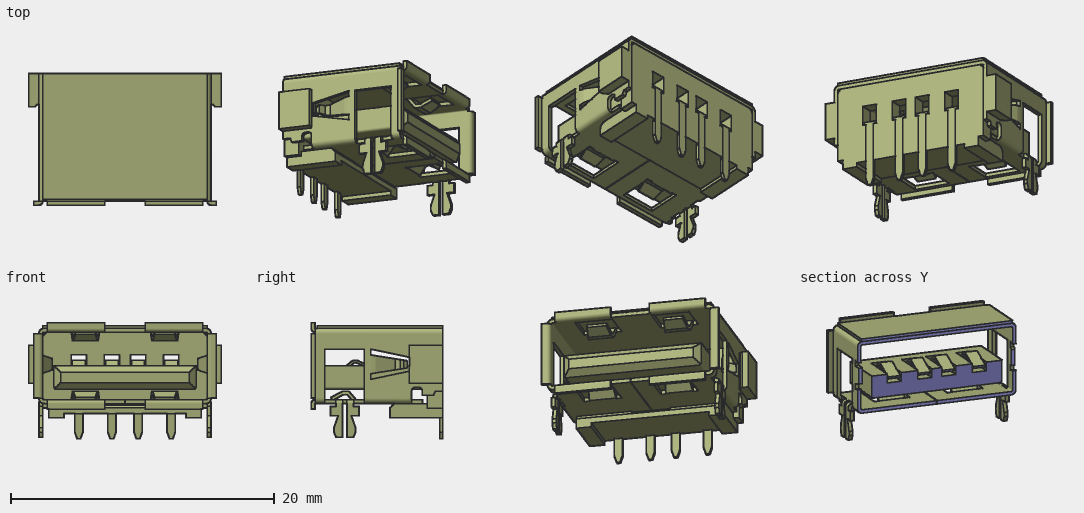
import cadquery as cq
import math


SHEET = 0.3
HALF_WIDTH = 6.54
HEIGHT = 5.71
REAR = 10.0
CORNER = 0.41
SEAM = 0.05
INNER_HALF = HALF_WIDTH - SHEET
CEILING = HEIGHT - SHEET
FLOOR_HALF = HALF_WIDTH - CORNER

LIP_REACH = 0.42
SIDE_LIP_REACH = 0.4
LIP_WIDTH = 4.38
LIP_CENTER = 3.71

WING_OUT = 7.3
WING_FRONT = 7.46
WING_BOTTOM, WING_TOP = 1.53, 4.42
WING_CHAMFER = 0.19
WING_STEP = 0.1

WINDOW_FRONT, WINDOW_REAR = 1.05, 4.03
WINDOW_TOP = 4.1

LATCH_Z = 2.98
LATCH_FRONT = 4.54
LATCH_TIP = 7.3
LATCH_TIP_FILLET = 0.12
LATCH_ROOT_HALF, LATCH_TIP_HALF = 0.72, 0.28
LATCH_HOLE_FRONT_HALF, LATCH_HOLE_REAR_HALF = 1.14, 0.53

FLOOR_REAR = 8.47
RELIEF_FRONT, RELIEF_REAR = 7.64, 8.42
RELIEF_TOP, RELIEF_FILLET = 1.25, 0.32
WALL_REAR_EDGE = 0.61
WALL_STEP_EDGE = 0.93
WALL_STEP_LOW, WALL_STEP_HIGH = 9.29, 9.42

SPRING_CENTER = 3.01
SPRING_ROOT = 3.42
SPRING_RISE = 0.93
SPRING_THICK = 0.28
SPRING_ROOT_WIDTH, SPRING_TIP_WIDTH = 2.25, 1.5
SPRING_HOLE_WIDTH = 2.92
SPRING_HOLE_FRONT = 0.7
SPRING_TIP = 1.49

LEG_CENTER = 2.55
LEG_BOTTOM = -2.57
LEG_SLOT = 0.3

TONGUE_HALF = 5.39
TONGUE_BOTTOM, TONGUE_TOP = 1.08, 2.88
TONGUE_FRONT = 0.38
TONGUE_CHAMFER = 0.51
TONGUE_FILLET = 0.2
BACK_FRONT = 8.8
BACK_BOTTOM = -0.35
BACK_CHAMFER = 0.26
BASE_HALF = 5.8
BASE_FRONT = 5.99
BASE_BOTTOM = -0.76
BASE_CHAMFER = 0.32
RECESS_HALF = LIP_CENTER - LIP_WIDTH / 2
RECESS_DEPTH = 0.15
FOOT_BOTTOM = -1.08
FOOT_INNER = 4.61

CONTACT_X = (-3.5, -1.0, 1.0, 3.5)
CONTACT_WIDTH = 1.01
CONTACT_THICK = 0.18
CREST_Y, CREST_TOP = 3.31, 3.3
CONTACT_TIP = 2.05
SLOT_WIDTH = 1.14
SLOT_FRONT = 1.9
SLOT_FLOOR = 2.19
SLOT_TOP = 3.7
PIN_WIDTH = 0.64
PIN_THICK = 0.25
PIN_TIP_WIDTH = 0.26
PIN_TAPER_TOP = -2.16
PIN_BOTTOM = -2.69

COVER_HALF = 6.25
COVER_FRONT = 0.47
COVER_THICK = 0.2

MIRROR_SIGNS = (-1, 1)


def box(x0, x1, y0, y1, z0, z1):
    """Box between two opposite corners."""
    return cq.Workplane("XY").box(x1 - x0, y1 - y0, z1 - z0, centered=False).translate((x0, y0, z0))


def side_prism(points, x0, x1):
    """Outline of (y, z) points extruded from x0 to x1."""
    return cq.Workplane("YZ").workplane(offset=x0).polyline(points).close().extrude(x1 - x0)


def both_sides(body):
    """A body and its mirror image across the centre plane."""
    return body.union(body.mirror("YZ"))


def mirrored_in_height(body):
    """Mirror image of a body across the mid-height plane of the shell."""
    return body.mirror("XY", (0, 0, HEIGHT / 2))


def shell_tube():
    outer = box(-HALF_WIDTH, HALF_WIDTH, SHEET, REAR, 0, HEIGHT).edges("|Y").fillet(CORNER)
    inner = box(-INNER_HALF, INNER_HALF, SHEET, REAR, SHEET, CEILING)
    return outer.cut(inner.edges("|Y").fillet(CORNER - SHEET))


def lip_profile(plane, flip, outer_face, reach):
    """Outward bend of a sheet whose outer face lies at outer_face; flip swaps the plane axes."""
    def place(along_y, outward):
        return (outward, along_y) if flip else (along_y, outward)

    arc_offset = SHEET * (1 - math.sqrt(0.5))
    return (
        plane.moveTo(*place(SHEET, outer_face - SHEET))
        .threePointArc(place(arc_offset, outer_face - SHEET + arc_offset), place(0, outer_face))
        .lineTo(*place(0, outer_face + reach))
        .lineTo(*place(SHEET, outer_face + reach))
        .close()
    )


def top_lip(center):
    plane = cq.Workplane("YZ").workplane(offset=center - LIP_WIDTH / 2)
    return lip_profile(plane, False, HEIGHT, LIP_REACH).extrude(LIP_WIDTH)


def side_lip():
    plane = cq.Workplane("XY").workplane(offset=CORNER)
    return lip_profile(plane, True, HALF_WIDTH, SIDE_LIP_REACH).extrude(HEIGHT - 2 * CORNER)


def side_wing():
    chamfer_start = HALF_WIDTH + WING_STEP
    outline = [
        (INNER_HALF, REAR),
        (WING_OUT, REAR),
        (WING_OUT, WING_FRONT),
        (chamfer_start + WING_CHAMFER, WING_FRONT),
        (chamfer_start, WING_FRONT + WING_CHAMFER),
        (INNER_HALF, WING_FRONT + WING_CHAMFER),
    ]
    plane = cq.Workplane("XY").workplane(offset=WING_BOTTOM)
    return plane.polyline(outline).close().extrude(WING_TOP - WING_BOTTOM)


def wall_openings():
    """Everything removed from the right-hand side wall."""
    window = box(FLOOR_HALF, HALF_WIDTH, WINDOW_FRONT, WINDOW_REAR, 0, WINDOW_TOP)
    latch_hole = side_prism(
        [
            (LATCH_FRONT, LATCH_Z - LATCH_HOLE_FRONT_HALF),
            (LATCH_FRONT, LATCH_Z + LATCH_HOLE_FRONT_HALF),
            (WING_FRONT, LATCH_Z + LATCH_HOLE_REAR_HALF),
            (WING_FRONT, LATCH_Z - LATCH_HOLE_REAR_HALF),
        ],
        FLOOR_HALF,
        HALF_WIDTH,
    )
    rear_edge = side_prism(
        [
            (RELIEF_FRONT, 0),
            (RELIEF_FRONT, WALL_REAR_EDGE),
            (WALL_STEP_LOW, WALL_REAR_EDGE),
            (WALL_STEP_HIGH, WALL_STEP_EDGE),
            (REAR, WALL_STEP_EDGE),
            (REAR, 0),
        ],
        FLOOR_HALF,
        HALF_WIDTH,
    )
    relief = box(FLOOR_HALF, HALF_WIDTH, RELIEF_FRONT, RELIEF_REAR, 0, RELIEF_TOP)
    relief = relief.edges("|X and >Z").fillet(RELIEF_FILLET)
    return window.union(latch_hole).union(rear_edge).union(relief)


def latch_spring():
    """Side spring that slopes inward from its root and turns sharply back out at its tip."""
    root_bend = 4.9
    root_inset = 0.06
    inward_start, inward_mid, inward_end = (5.53, 6.28), (5.58, 6.69), (5.81, 7.04)
    outward_start, outward_mid, outward_end = (5.83, 6.38), (5.85, 6.58), (5.94, 6.76)
    inward_tip, outward_tip = (6.35, LATCH_TIP), (6.48, 7.02)
    strip = (
        cq.Workplane("XY")
        .moveTo(HALF_WIDTH, LATCH_FRONT)
        .lineTo(INNER_HALF, LATCH_FRONT)
        .lineTo(INNER_HALF - root_inset, root_bend)
        .lineTo(*inward_start)
        .threePointArc(inward_mid, inward_end)
        .lineTo(*inward_tip)
        .lineTo(*outward_tip)
        .lineTo(*outward_end)
        .threePointArc(outward_mid, outward_start)
        .lineTo(HALF_WIDTH - root_inset, root_bend)
        .close()
        .extrude(HEIGHT)
    )
    taper = side_prism(
        [
            (LATCH_FRONT, LATCH_Z - LATCH_ROOT_HALF),
            (LATCH_FRONT, LATCH_Z + LATCH_ROOT_HALF),
            (LATCH_TIP, LATCH_Z + LATCH_TIP_HALF),
            (LATCH_TIP, LATCH_Z - LATCH_TIP_HALF),
        ],
        0,
        HALF_WIDTH,
    )
    return strip.intersect(taper.edges("|X and >Y").fillet(LATCH_TIP_FILLET))


def spring_opening(center):
    half = SPRING_HOLE_WIDTH / 2
    return box(center - half, center + half, SPRING_HOLE_FRONT, SPRING_ROOT, 0, SHEET)


def floor_spring(center):
    """Arched tongue rising from the floor, free at its front end and narrower there."""
    crest_rear, crest_front = 2.88, 2.38
    tip_top = 0.47
    tip_setback, tip_drop = 0.13, 0.25
    inner_front, inner_rear = 2.44, 2.76
    foot_rear = 3.3
    crest_underside = SPRING_RISE - SPRING_THICK
    arch = side_prism(
        [
            (SPRING_ROOT + SHEET, 0),
            (SPRING_ROOT + SHEET, SHEET),
            (SPRING_ROOT, SHEET),
            (crest_rear, SPRING_RISE),
            (crest_front, SPRING_RISE),
            (SPRING_TIP, tip_top),
            (SPRING_TIP + tip_setback, tip_top - tip_drop),
            (inner_front, crest_underside),
            (inner_rear, crest_underside),
            (foot_rear, 0),
        ],
        center - SPRING_ROOT_WIDTH / 2,
        center + SPRING_ROOT_WIDTH / 2,
    )
    taper = [
        (center - SPRING_ROOT_WIDTH / 2, SPRING_ROOT + SHEET),
        (center + SPRING_ROOT_WIDTH / 2, SPRING_ROOT + SHEET),
        (center + SPRING_TIP_WIDTH / 2, SPRING_TIP),
        (center - SPRING_TIP_WIDTH / 2, SPRING_TIP),
    ]
    return arch.intersect(cq.Workplane("XY").polyline(taper).close().extrude(SPRING_RISE))


def board_lock():
    """Split leg that bends down from the right-hand edge of the floor."""
    shoulder_top, shoulder_bottom = -0.2, -0.93
    bulge_top, bulge_bottom = -1.84, -2.16
    neck, shoulder, waist, bulge, tip = 0.67, 1.1, 0.51, 0.83, 0.65
    half_outline = [
        (neck, SHEET),
        (neck, shoulder_top),
        (shoulder, shoulder_top),
        (shoulder, shoulder_bottom),
        (waist, shoulder_bottom),
        (bulge, bulge_top),
        (bulge, bulge_bottom),
        (tip, LEG_BOTTOM),
    ]
    front = [(LEG_CENTER - y, z) for y, z in half_outline]
    rear = [(LEG_CENTER + y, z) for y, z in reversed(half_outline)]
    outline = side_prism(front + rear, FLOOR_HALF, HALF_WIDTH)
    bend = SHEET * math.sqrt(0.5)
    strip = (
        cq.Workplane("XZ", origin=(0, WINDOW_REAR, 0))
        .moveTo(FLOOR_HALF, SHEET)
        .lineTo(INNER_HALF, SHEET)
        .threePointArc((INNER_HALF + bend, bend), (HALF_WIDTH, 0))
        .lineTo(HALF_WIDTH, LEG_BOTTOM)
        .lineTo(INNER_HALF, LEG_BOTTOM)
        .lineTo(INNER_HALF, 0)
        .lineTo(FLOOR_HALF, 0)
        .close()
        .extrude(WINDOW_REAR - WINDOW_FRONT)
    )
    slot = box(
        FLOOR_HALF, HALF_WIDTH,
        LEG_CENTER - LEG_SLOT / 2, LEG_CENTER + LEG_SLOT / 2,
        LEG_BOTTOM, SHEET,
    )
    return strip.intersect(outline).cut(slot)


def make_shell():
    shell = shell_tube().cut(both_sides(wall_openings()))
    shell = shell.cut(box(-HALF_WIDTH, HALF_WIDTH, FLOOR_REAR, REAR, 0, WALL_REAR_EDGE))
    shell = shell.cut(box(-SEAM / 2, SEAM / 2, 0, REAR, 0, SHEET))
    for side in MIRROR_SIGNS:
        lip = top_lip(side * LIP_CENTER)
        opening = spring_opening(side * SPRING_CENTER)
        spring = floor_spring(side * SPRING_CENTER)
        shell = shell.cut(opening).cut(mirrored_in_height(opening))
        shell = shell.union(lip).union(mirrored_in_height(lip))
        shell = shell.union(spring).union(mirrored_in_height(spring))
    for feature in (side_lip(), side_wing(), latch_spring(), board_lock()):
        shell = shell.union(both_sides(feature))
    return shell


def tongue():
    body = box(-TONGUE_HALF, TONGUE_HALF, TONGUE_FRONT, BACK_FRONT, TONGUE_BOTTOM, TONGUE_TOP)
    body = body.edges("|Y and <Z").fillet(TONGUE_FILLET)
    bevel_end = TONGUE_FRONT + TONGUE_CHAMFER
    side_outline = [
        (BACK_FRONT, TONGUE_BOTTOM),
        (bevel_end, TONGUE_BOTTOM),
        (TONGUE_FRONT, TONGUE_BOTTOM + TONGUE_CHAMFER),
        (TONGUE_FRONT, TONGUE_TOP - TONGUE_CHAMFER),
        (bevel_end, TONGUE_TOP),
        (BACK_FRONT, TONGUE_TOP),
    ]
    plan_outline = [
        (-TONGUE_HALF, BACK_FRONT),
        (-TONGUE_HALF, bevel_end),
        (TONGUE_CHAMFER - TONGUE_HALF, TONGUE_FRONT),
        (TONGUE_HALF - TONGUE_CHAMFER, TONGUE_FRONT),
        (TONGUE_HALF, bevel_end),
        (TONGUE_HALF, BACK_FRONT),
    ]
    plan = cq.Workplane("XY").polyline(plan_outline).close().extrude(TONGUE_TOP)
    return body.intersect(side_prism(side_outline, -TONGUE_HALF, TONGUE_HALF)).intersect(plan)


def back_wall():
    wall = box(-INNER_HALF, INNER_HALF, BACK_FRONT, REAR, BACK_BOTTOM, CEILING)
    return wall.edges("|Y and >Z").chamfer(BACK_CHAMFER)


def base():
    plate = box(-BASE_HALF, BASE_HALF, BASE_FRONT, REAR, FOOT_BOTTOM, 0)
    plate = plate.edges("|X and <Y and >Z").chamfer(BASE_CHAMFER)
    plate = plate.cut(box(-RECESS_HALF, RECESS_HALF, BASE_FRONT, BACK_FRONT, -RECESS_DEPTH, 0))
    return plate.cut(box(-FOOT_INNER, FOOT_INNER, BASE_FRONT, REAR, FOOT_BOTTOM, BASE_BOTTOM))


def contact_channel(center):
    """Slot along the tongue and through the back wall, with a groove for the pin behind it."""
    half_slot = SLOT_WIDTH / 2
    half_pin = PIN_WIDTH / 2
    slot = box(center - half_slot, center + half_slot, SLOT_FRONT, REAR, SLOT_FLOOR, SLOT_TOP)
    groove = box(center - half_pin, center + half_pin, REAR - PIN_THICK, REAR, FOOT_BOTTOM, SLOT_FLOOR)
    return slot.union(groove)


def make_housing():
    housing = back_wall().union(tongue()).union(base())
    for center in CONTACT_X:
        housing = housing.cut(contact_channel(center))
    return housing


def contact_beam():
    """Flat strip on the slot floor that rises to a rounded crest and dips back into the slot."""
    rise_start = 5.7
    crest_rear = (CREST_Y + 0.26, CREST_TOP - 0.06)
    crest_front = (CREST_Y - 0.29, CREST_TOP - 0.15)
    strip_top = SLOT_FLOOR + CONTACT_THICK
    return (
        cq.Workplane("YZ")
        .moveTo(REAR, SLOT_FLOOR)
        .lineTo(REAR, strip_top)
        .lineTo(rise_start, strip_top)
        .lineTo(*crest_rear)
        .threePointArc((CREST_Y, CREST_TOP), crest_front)
        .lineTo(CONTACT_TIP, strip_top)
        .lineTo(CONTACT_TIP + CONTACT_THICK, SLOT_FLOOR)
        .lineTo(CREST_Y, CREST_TOP - CONTACT_THICK)
        .lineTo(rise_start, SLOT_FLOOR)
        .close()
        .extrude(CONTACT_WIDTH / 2, both=True)
    )


def contact_pin():
    half_outline = [
        (PIN_WIDTH / 2, SLOT_FLOOR),
        (PIN_WIDTH / 2, PIN_TAPER_TOP),
        (PIN_TIP_WIDTH / 2, PIN_BOTTOM),
    ]
    mirrored = [(-x, z) for x, z in reversed(half_outline)]
    plane = cq.Workplane("XZ", origin=(0, REAR, 0))
    return plane.polyline(half_outline + mirrored).close().extrude(PIN_THICK)


def make_contact(center):
    return contact_beam().union(contact_pin()).translate((center, 0, 0))


def make_cover():
    return box(-COVER_HALF, COVER_HALF, COVER_FRONT, REAR, HEIGHT, HEIGHT + COVER_THICK)


shell = make_shell()
housing = make_housing()
contacts = [make_contact(center) for center in CONTACT_X]
cover = make_cover()

result = cq.Compound.makeCompound(
    [shell.val(), housing.val(), *[contact.val() for contact in contacts], cover.val()]
)